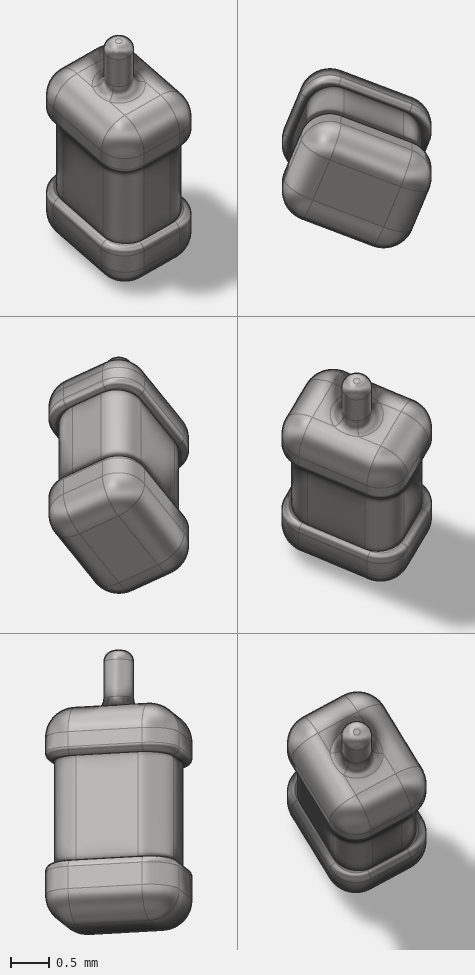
import cadquery as cq

total_height = 3.7
cap_width = 1.8
cap_depth = 1.4

bottom_cap_height = 0.8
body_height = 1.402
top_cap_height = 0.7
body_base_z = bottom_cap_height
top_cap_base_z = body_base_z + body_height
pin_base_z = top_cap_base_z + top_cap_height
pin_height = total_height - pin_base_z

cap_corner_radius = 0.4
cap_dome_radius = cap_corner_radius
cap_lip_radius = 0.1

body_setback = cap_lip_radius
body_width = cap_width - 2 * body_setback
body_depth = cap_depth - 2 * body_setback
body_corner_radius = 0.38

pin_radius = 0.195
pin_tip_radius = 0.15
pin_root_radius = 0.15


def rounded_block(width, depth, height, corner_radius, base_z):
    """Upright block centred on the Z axis with rounded vertical corners."""
    return (
        cq.Workplane("XY", origin=(0, 0, base_z))
        .rect(width, depth)
        .extrude(height)
        .edges("|Z")
        .fillet(corner_radius)
    )


def cap(height, base_z, dome_side, lip_side):
    """End cap with a large radius on its outer end and a small one on its lip."""
    block = rounded_block(cap_width, cap_depth, height, cap_corner_radius, base_z)
    lipped = block.faces(lip_side).edges().fillet(cap_lip_radius)
    return lipped.faces(dome_side).edges().fillet(cap_dome_radius)


def pin():
    """Plain round pin on the Z axis with a rounded tip."""
    return (
        cq.Workplane("XY", origin=(0, 0, pin_base_z))
        .circle(pin_radius)
        .extrude(pin_height)
        .faces(">Z")
        .edges()
        .fillet(pin_tip_radius)
    )


def flare_pin_root(part):
    """Blend the pin into the top cap, running onto the dome beside the flat."""
    root_edge = part.edges(cq.NearestToPointSelector((0, 0, pin_base_z)))
    return root_edge.fillet(pin_root_radius)


bottom_cap = cap(bottom_cap_height, 0, "<Z", ">Z")
top_cap = cap(top_cap_height, top_cap_base_z, ">Z", "<Z")
body = rounded_block(body_width, body_depth, body_height, body_corner_radius, body_base_z)

plain_part = bottom_cap.union(body).union(top_cap).union(pin())
result = flare_pin_root(plain_part)